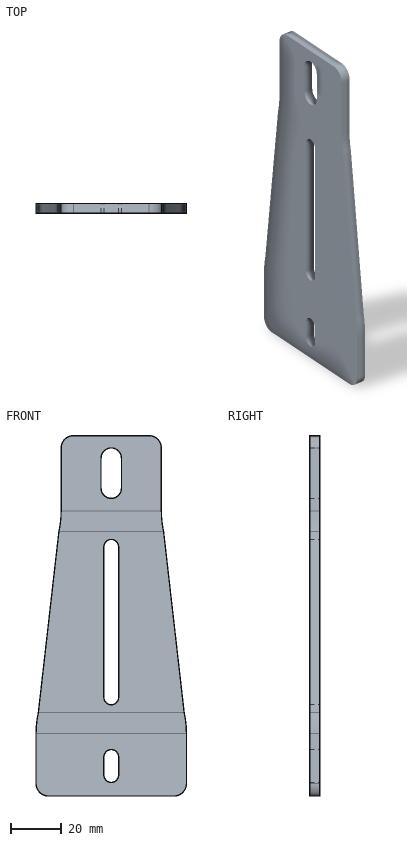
import cadquery as cq
import math

thickness = 4.0
height = 143.65
corner_radius = 5.0

bottom_half_width = 30.0
bottom_tab_height = 25.0
top_half_width = 20.0
top_tab_height = 30.0

bend_length = 8.325
bend_inset = 0.91

lower_bend_start = bottom_tab_height
lower_bend_end = lower_bend_start + bend_length
upper_bend_end = height - top_tab_height
upper_bend_start = upper_bend_end - bend_length

web_bottom_half_width = bottom_half_width - bend_inset
web_top_half_width = top_half_width + bend_inset

top_slot_width = 8.0
top_slot_length = 20.0
top_slot_level = (upper_bend_end + height) / 2

narrow_slot_width = 5.8
web_slot_travel = 60.0
web_slot_length = web_slot_travel + narrow_slot_width
web_slot_level = (lower_bend_end + upper_bend_start) / 2
bottom_slot_length = 13.0
bottom_slot_level = 12.0


def front_plane():
    """Workplane on the back face, with local x along X and local y along Z, facing -Y."""
    return cq.Workplane("XZ", origin=(0, thickness / 2, 0))


def bend_midpoint(half_width, tab_level, direction_x, direction_z):
    """Middle of the circular side of a bend strip that leaves its tab tangent to the tab side."""
    radius = (bend_length**2 + bend_inset**2) / (2 * bend_inset)
    half_turn = math.asin(bend_length / radius) / 2
    x = half_width + direction_x * radius * (1 - math.cos(half_turn))
    z = tab_level + direction_z * radius * math.sin(half_turn)
    return x, z


def zone(bottom_half, bottom_level, top_half, top_level, side_midpoint=None):
    """One full-thickness zone of the blank, with straight sides or arcs through side_midpoint."""
    outline = front_plane().moveTo(-bottom_half, bottom_level).lineTo(bottom_half, bottom_level)
    if side_midpoint is None:
        outline = outline.lineTo(top_half, top_level).lineTo(-top_half, top_level)
    else:
        x, z = side_midpoint
        outline = (
            outline.threePointArc((x, z), (top_half, top_level))
            .lineTo(-top_half, top_level)
            .threePointArc((-x, z), (-bottom_half, bottom_level))
        )
    return outline.close().extrude(thickness)


def tab(half_width, bottom_level, top_level, outer_edges):
    """A rectangular tab with its two outer corners rounded."""
    plain_tab = zone(half_width, bottom_level, half_width, top_level)
    return plain_tab.faces(outer_edges).edges("|Y").fillet(corner_radius)


def slot(width, length, middle_level):
    """Cutter for a vertical round-ended slot through the thickness."""
    vertical = 90
    return front_plane().center(0, middle_level).slot2D(length, width, vertical).extrude(thickness)


bottom_tab = tab(bottom_half_width, 0, lower_bend_start, "<Z")
lower_bend = zone(
    bottom_half_width,
    lower_bend_start,
    web_bottom_half_width,
    lower_bend_end,
    bend_midpoint(bottom_half_width, lower_bend_start, -1, 1),
)
web = zone(web_bottom_half_width, lower_bend_end, web_top_half_width, upper_bend_start)
upper_bend = zone(
    web_top_half_width,
    upper_bend_start,
    top_half_width,
    upper_bend_end,
    bend_midpoint(top_half_width, upper_bend_end, 1, -1),
)
top_tab = tab(top_half_width, upper_bend_end, height, ">Z")

result = bottom_tab
for next_zone in (lower_bend, web, upper_bend, top_tab):
    result = result.union(next_zone, clean=False)

slots = (
    (top_slot_width, top_slot_length, top_slot_level),
    (narrow_slot_width, web_slot_length, web_slot_level),
    (narrow_slot_width, bottom_slot_length, bottom_slot_level),
)
for slot_width, slot_length, slot_level in slots:
    result = result.cut(slot(slot_width, slot_length, slot_level), clean=False)